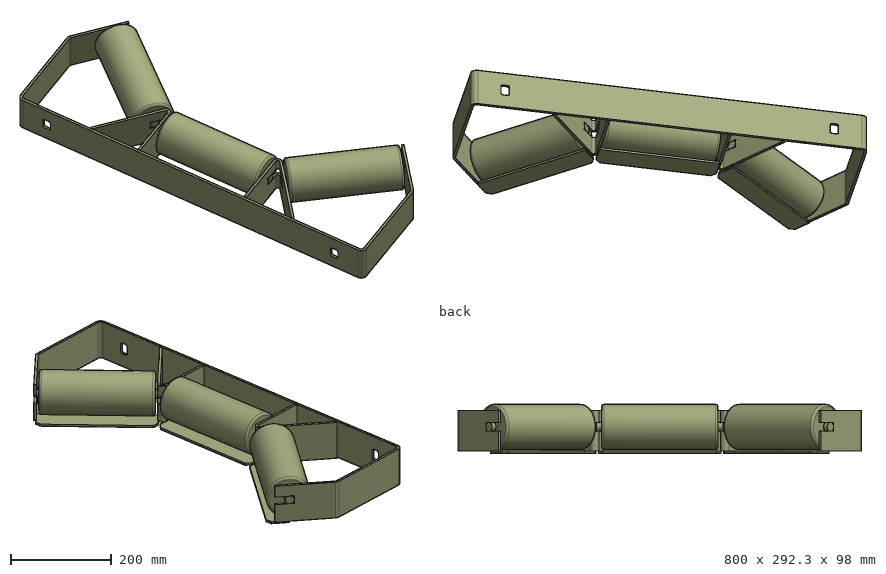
import cadquery as cq
import math


frame_length = 800.0
strip_thickness = 5.2
strip_height = 81.0
frame_bend_radius = 12.0
bracket_bend_radius = 10.0
ear_overhang = 30.0
support_gap = 240.0

roller_radius = 45.0
roller_length = 230.0
roller_end_fillet = 5.0
shaft_diameter = 19.0
shaft_flats = 17.0
shaft_flat_start = 118.0
axis_height = 48.0

plate_length = 243.0
plate_thickness = 5.0
plate_chamfer = 10.0

middle_axis_y = 100.0
wing_x = 242.0
wing_y = 186.0
wing_tilt = 40.0

mount_slot_width = 17.0
mount_slot_height = 24.0
mount_slot_fillet = 4.0
mount_slot_x = 333.0

slot_cut_depth = 14.0
slot_cut_reach = 48.0
corner_pick_size = 1.0

half_length = frame_length / 2
strip_bottom = plate_thickness
strip_mid_z = strip_bottom + strip_height / 2
axis_z = strip_bottom + axis_height
near_face = support_gap / 2
far_face = near_face + strip_thickness
strip_middle = near_face + strip_thickness / 2
shaft_length = 2 * far_face
cos_tilt = math.cos(math.radians(wing_tilt))
sin_tilt = math.sin(math.radians(wing_tilt))


def wing_point(u, v):
    return (wing_x + u * cos_tilt - v * sin_tilt, wing_y + u * sin_tilt + v * cos_tilt)


def wing_point_at_x(u, x):
    """Point with the given u that has the given X."""
    return wing_point(u, (wing_x + u * cos_tilt - x) / sin_tilt)


def v_at_y(u, y):
    """Value of v at which the point with the given u has the given Y."""
    return (y - wing_y - u * sin_tilt) / cos_tilt


def place_at_middle(body):
    return body.translate((0, middle_axis_y, 0))


def place_at_wing(body, side):
    """Side is -1 for the left wing and +1 for the right wing."""
    return body.rotate((0, 0, 0), (0, 0, 1), side * wing_tilt).translate((side * wing_x, wing_y, 0))


def place_all(body):
    return [place_at_wing(body, -1), place_at_middle(body), place_at_wing(body, 1)]


def extrude_strip(outline):
    return cq.Workplane("XY", origin=(0, 0, strip_bottom)).polyline(outline).close().extrude(strip_height)


def round_bend(strip, corner, radius):
    """Round the upright edge that stands at the given XY corner."""
    x, y = corner
    pick_box = cq.selectors.BoxSelector(
        (x - corner_pick_size, y - corner_pick_size, strip_bottom),
        (x + corner_pick_size, y + corner_pick_size, strip_bottom + strip_height),
    )
    return strip.edges(pick_box).fillet(radius)


def shaft_slot(x):
    """Cutter for a shaft slot at distance x along a roller axis, open towards +Y."""
    return (
        cq.Workplane("XY")
        .box(slot_cut_depth, slot_cut_reach + shaft_diameter / 2, shaft_flats, centered=(True, False, True))
        .translate((x, -shaft_diameter / 2, axis_z))
    )


def make_frame():
    inner_x = half_length - strip_thickness
    outer_corner = (half_length, 0)
    outer_knee = wing_point_at_x(far_face, half_length)
    inner_knee = wing_point_at_x(near_face, inner_x)
    inner_corner = (inner_x, strip_thickness)
    right_half = [
        outer_corner,
        outer_knee,
        wing_point(far_face, ear_overhang),
        wing_point(near_face, ear_overhang),
        inner_knee,
        inner_corner,
    ]
    left_half = [(-x, y) for x, y in reversed(right_half)]
    frame = extrude_strip(right_half + left_half)

    for side in (-1, 1):
        for x, y in (inner_corner, inner_knee):
            frame = round_bend(frame, (side * x, y), frame_bend_radius - strip_thickness)
        for x, y in (outer_corner, outer_knee):
            frame = round_bend(frame, (side * x, y), frame_bend_radius)

    mount_slots = (
        cq.Workplane("XZ")
        .pushPoints([(-mount_slot_x, strip_mid_z), (mount_slot_x, strip_mid_z)])
        .rect(mount_slot_width, mount_slot_height)
        .extrude(2 * strip_thickness, both=True)
        .edges("|Y")
        .fillet(mount_slot_fillet)
    )
    frame = frame.cut(mount_slots)

    for side in (-1, 1):
        frame = frame.cut(place_at_wing(shaft_slot(side * strip_middle), side))
    return frame


def make_bracket(side):
    """Strip folded to a straight leg for the middle roller and a sloping leg for a wing roller."""
    outer_fold = wing_point_at_x(-near_face, near_face)
    inner_fold = wing_point_at_x(-far_face, far_face)
    foot_v = v_at_y(-far_face, strip_thickness)
    bracket = extrude_strip(
        [
            (near_face, strip_thickness),
            outer_fold,
            wing_point(-near_face, foot_v),
            wing_point(-far_face, foot_v),
            inner_fold,
            (far_face, strip_thickness),
        ]
    )
    bracket = round_bend(bracket, inner_fold, bracket_bend_radius - strip_thickness)
    bracket = round_bend(bracket, outer_fold, bracket_bend_radius)
    bracket = bracket.cut(place_at_middle(shaft_slot(strip_middle)))
    bracket = bracket.cut(place_at_wing(shaft_slot(-strip_middle), 1))
    return bracket if side > 0 else bracket.mirror("YZ")


def cylinder_along_x(radius, length):
    return cq.Workplane("YZ", origin=(-length / 2, 0, 0)).circle(radius).extrude(length)


def make_shaft():
    """Round shaft with two flats at each end."""
    shaft = cylinder_along_x(shaft_diameter / 2, shaft_length)
    flat_ends = cq.Workplane("XY").box(shaft_length, shaft_diameter, shaft_flats)
    round_middle = cq.Workplane("XY").box(2 * shaft_flat_start, shaft_diameter, shaft_diameter)
    return shaft.intersect(flat_ends.union(round_middle))


def make_roller():
    shell = cylinder_along_x(roller_radius, roller_length).faces("<X or >X").edges().fillet(roller_end_fillet)
    return shell.union(make_shaft()).translate((0, 0, axis_z))


def make_half_plate():
    """Flat plate from the roller axis out to the roller radius on the +Y side."""
    return (
        cq.Workplane("XY")
        .box(plate_length, roller_radius, plate_thickness, centered=(True, False, False))
        .edges("|Z and >Y")
        .chamfer(plate_chamfer)
    )


frame = make_frame()
brackets = [make_bracket(side) for side in (-1, 1)]
rollers = place_all(make_roller())
half_plates = place_all(make_half_plate())

bodies = [frame, *brackets, *rollers, *half_plates]
result = cq.Compound.makeCompound([body.val() for body in bodies])